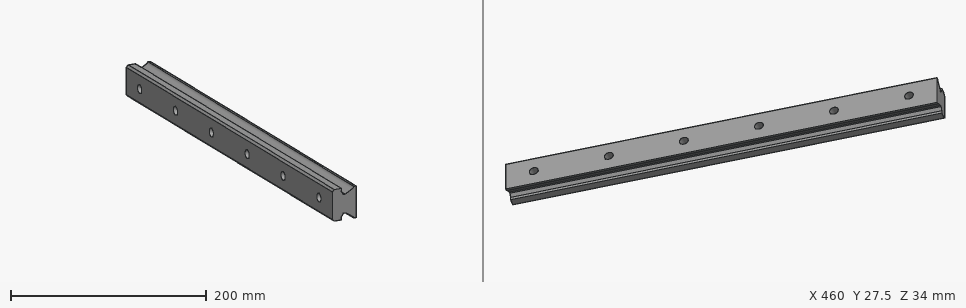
import cadquery as cq

length = 460.0
depth = 27.5
height = 34.0

hole_count = 6
hole_pitch = 80.0
hole_diameter = 9.0

front_chamfer = 2.5
back_land = 2.8
lip_middle = 3.5
lip_middle_drop = 1.5
lip_end = 5.5
lip_end_drop = 2.8
groove_start = 13.0
groove_end = 14.5
groove_drop = 7.0
shoulder_start = 17.0
shoulder_drop = 3.0


def profile_point(from_back, drop):
    """Point (Y, Z) on the upper half of the profile."""
    return (depth / 2 - from_back, height / 2 - drop)


def make_rail():
    """Extrude the profile, symmetric about the XY plane, along X."""
    upper_half = (
        cq.Workplane("YZ")
        .moveTo(depth / 2, 0)
        .lineTo(*profile_point(0, 0))
        .lineTo(*profile_point(back_land, 0))
        .threePointArc(
            profile_point(lip_middle, lip_middle_drop),
            profile_point(lip_end, lip_end_drop),
        )
        .lineTo(*profile_point(groove_start, groove_drop))
        .lineTo(*profile_point(groove_end, groove_drop))
        .lineTo(*profile_point(shoulder_start, shoulder_drop))
        .lineTo(*profile_point(shoulder_start, 0))
        .lineTo(*profile_point(depth - front_chamfer, 0))
        .lineTo(*profile_point(depth, front_chamfer))
        .lineTo(-depth / 2, 0)
        .close()
        .extrude(length / 2, both=True)
    )
    return upper_half.union(upper_half.mirror("XY")).clean()


def make_holes():
    """Row of plain through holes along Y, centred on the rail."""
    return (
        cq.Workplane("XZ")
        .rarray(hole_pitch, 4.5, hole_count, 1)
        .circle(hole_diameter / 2)
        .extrude(depth, both=True)
    )


result = make_rail().cut(make_holes())